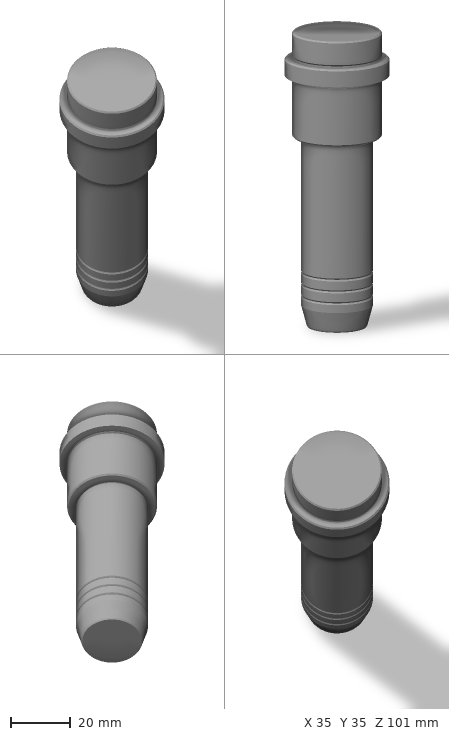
import cadquery as cq

TOTAL_LENGTH = 101.0
HEAD_RADIUS = 30.0 / 2
FLANGE_RADIUS = 35.0 / 2
SHANK_RADIUS = 12.0
TIP_RADIUS = 10.2

HEAD_LENGTH = 9.0
FLANGE_LENGTH = 6.0
BODY_LENGTH = 21.0
TIP_TAPER_LENGTH = 7.3

EDGE_CHAMFER = 0.5
TIP_CHAMFER_WIDTH = 0.3
GROOVE_WIDTH = 1.0
GROOVE_DEPTH = 0.5
LOWEST_GROOVE_Z = 10.5
GROOVE_PITCH = 4.0
SHANK_GROOVE_COUNT = 3

flange_top = TOTAL_LENGTH - HEAD_LENGTH
flange_bottom = flange_top - FLANGE_LENGTH
body_bottom = flange_bottom - BODY_LENGTH


def make_cylinder(radius, bottom, top):
    """Cylinder on the Z axis between two heights."""
    return cq.Workplane("XY").workplane(offset=bottom).circle(radius).extrude(top - bottom)


def make_vee_groove(radius, center_z):
    """Ring cutter with a V section whose point lies GROOVE_DEPTH inside the radius."""
    half_width = GROOVE_WIDTH / 2
    section = [
        (radius - GROOVE_DEPTH, center_z),
        (radius, center_z + half_width),
        (radius, center_z - half_width),
    ]
    return cq.Workplane("XZ").polyline(section).close().revolve(360, (0, 0, 0), (0, 1, 0))


def make_shank():
    """Tapered shank with a relief neck under the body and V grooves near the tip."""
    neck_bottom = body_bottom - GROOVE_WIDTH
    neck_radius = SHANK_RADIUS - GROOVE_DEPTH
    profile = [
        (0, 0),
        (TIP_RADIUS - TIP_CHAMFER_WIDTH, 0),
        (TIP_RADIUS, EDGE_CHAMFER),
        (SHANK_RADIUS, TIP_TAPER_LENGTH),
        (SHANK_RADIUS, neck_bottom),
        (neck_radius, neck_bottom),
        (neck_radius, body_bottom),
        (0, body_bottom),
    ]
    shank = cq.Workplane("XZ").polyline(profile).close().revolve(360, (0, 0, 0), (0, 1, 0))
    for index in range(SHANK_GROOVE_COUNT):
        groove_z = LOWEST_GROOVE_Z + index * GROOVE_PITCH
        shank = shank.cut(make_vee_groove(SHANK_RADIUS, groove_z))
    return shank


def make_body():
    """Chamfered body and head, grooved where they meet the flange."""
    body = make_cylinder(HEAD_RADIUS, body_bottom, TOTAL_LENGTH)
    body = body.faces("<Z or >Z").chamfer(EDGE_CHAMFER)
    for groove_z in (flange_top + GROOVE_WIDTH / 2, flange_bottom - GROOVE_WIDTH / 2):
        body = body.cut(make_vee_groove(HEAD_RADIUS, groove_z))
    return body


def make_flange():
    """Flange with its upper rim chamfered."""
    flange = make_cylinder(FLANGE_RADIUS, flange_bottom, flange_top)
    return flange.faces(">Z").chamfer(EDGE_CHAMFER)


result = make_shank().union(make_body()).union(make_flange())